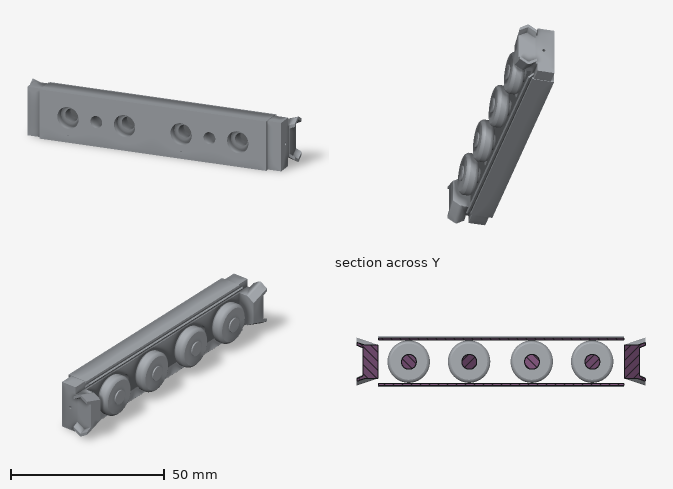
import cadquery as cq
import math


overall_length = 94.0
overall_depth = 13.3
body_length = 80.1
body_height = 17.0
body_back = 7.3
flange_thickness = 0.75
ledge_back = 6.8
ledge_inner_z = 5.5

roller_pitch = 20.0
roller_xs = [step * roller_pitch for step in (-1.5, -0.5, 0.5, 1.5)]
mount_xs = [-roller_pitch, roller_pitch]
bore_diameter = 4.5
counterbore_diameter = 7.5
counterbore_depth = 3.0
mount_diameter = 4.1
oil_hole_diameter = 0.5
oil_hole_depth = 0.9
oil_hole_z = -6.0
oil_hole_xs = [roller_xs[0], roller_xs[2]]

roller_diameter = 13.8
roller_front = 8.65
roller_back = 12.8
roller_face_diameter = 11.8
shoulder_width = 1.1
shoulder_radius = 1.9
hub_diameter = 5.0
eccentric_offset = 0.4
roller_offsets = [0, -eccentric_offset, 0, -eccentric_offset]

wiper_thickness = 0.6
wiper_foot_z = 5.8
wiper_reach = 2.1

cap_outer_x = 44.9
cap_front = 1.1
cap_height = 16.7
pin_hole_diameter = 1.0
pin_hole_y = 4.7

nose_front = 7.6
nose_middle = (nose_front + overall_depth) / 2
nose_side_z = 6.2
nose_apex_z = 8.0
nose_taper = 2.35
nose_ridge_radius = 1.0
tongue_back = 10.0
recess_depth = 2.0
recess_side_z = 5.2
recess_apex_z = 6.9
recess_taper = 0.8

body_end = body_length / 2
body_top = body_height / 2
nose_end = overall_length / 2


def holes_along_y(xs, diameter, depth, z=0.0):
    """Cylinders that enter the front face and run toward +Y."""
    points = [(x, z) for x in xs]
    return cq.Workplane("XZ").pushPoints(points).circle(diameter / 2).extrude(-depth)


def make_body():
    flange_inner_z = body_top - flange_thickness
    half_profile = [
        (0, body_top),
        (body_back, body_top),
        (body_back, flange_inner_z),
        (ledge_back, flange_inner_z),
        (ledge_back, ledge_inner_z),
        (body_back, ledge_inner_z),
    ]
    mirrored = [(y, -z) for y, z in reversed(half_profile)]
    body = (
        cq.Workplane("YZ", origin=(-body_end, 0, 0))
        .polyline(half_profile + mirrored)
        .close()
        .extrude(body_length)
    )
    body = body.cut(holes_along_y(roller_xs, bore_diameter, body_back))
    body = body.cut(holes_along_y(roller_xs, counterbore_diameter, counterbore_depth))
    body = body.cut(holes_along_y(mount_xs, mount_diameter, body_back))
    return body.cut(holes_along_y(oil_hole_xs, oil_hole_diameter, oil_hole_depth, oil_hole_z))


def make_roller(x):
    """Disc with curved shoulders and a hub that stands on the rear face of the body."""
    rim_radius = roller_diameter / 2
    face_radius = roller_face_diameter / 2
    disc = (
        cq.Workplane("XY", origin=(x, 0, 0))
        .moveTo(0, roller_front)
        .lineTo(face_radius, roller_front)
        .radiusArc((rim_radius, roller_front + shoulder_width), -shoulder_radius)
        .lineTo(rim_radius, roller_back - shoulder_width)
        .radiusArc((face_radius, roller_back), -shoulder_radius)
        .lineTo(0, roller_back)
        .close()
        .revolve(360, (0, 0, 0), (0, 1, 0))
    )
    hub = (
        cq.Workplane("XZ", origin=(x, body_back, 0))
        .circle(hub_diameter / 2)
        .extrude(body_back - overall_depth)
    )
    return disc.union(hub)


def make_wiper(side):
    """Strip on the upper (side = 1) or lower (side = -1) ledge."""
    edge_step = wiper_thickness / math.sqrt(2)
    foot_width = wiper_thickness * math.sqrt(2)
    tip_y = ledge_back + wiper_reach
    tip_z = wiper_foot_z + wiper_reach
    profile = [
        (ledge_back, wiper_foot_z),
        (tip_y, tip_z),
        (tip_y - edge_step, tip_z + edge_step),
        (ledge_back, wiper_foot_z + foot_width),
    ]
    return (
        cq.Workplane("YZ", origin=(-body_end, 0, 0))
        .polyline([(y, side * z) for y, z in profile])
        .close()
        .extrude(body_length)
    )


def hexagon(side_z, apex_z):
    """Corners of a hexagon with vertical front and rear sides, as (y, z)."""
    return [
        (nose_front, -side_z),
        (nose_middle, -apex_z),
        (overall_depth, -side_z),
        (overall_depth, side_z),
        (nose_middle, apex_z),
        (nose_front, side_z),
    ]


def tapered_hexagon(side_z, apex_z, taper, depth):
    """Hexagonal block from the -X extreme inward, losing half height on the way."""
    return (
        cq.Workplane("YZ", origin=(-nose_end, 0, 0))
        .polyline(hexagon(side_z, apex_z))
        .close()
        .workplane(offset=depth)
        .polyline(hexagon(side_z - taper, apex_z - taper))
        .close()
        .loft(ruled=True, combine=True)
    )


def make_nose():
    nose = tapered_hexagon(nose_side_z, nose_apex_z, nose_taper, nose_end - body_end)
    ridge_z = nose_apex_z - nose_taper / 2
    for z in (ridge_z, -ridge_z):
        ridge = cq.selectors.NearestToPointSelector((-(nose_end + body_end) / 2, nose_middle, z))
        nose = nose.edges(ridge).fillet(nose_ridge_radius)
    return nose.cut(tapered_hexagon(recess_side_z, recess_apex_z, recess_taper, recess_depth))


def make_left_cap():
    cap_length = cap_outer_x - body_end
    cap_middle_x = -(cap_outer_x + body_end) / 2
    block_depth = ledge_back - cap_front
    block = cq.Workplane("XY").box(cap_length, block_depth, cap_height)
    block = block.translate((cap_middle_x, cap_front + block_depth / 2, 0))
    tongue_depth = tongue_back - ledge_back
    tongue = cq.Workplane("XY").box(cap_length, tongue_depth, 2 * ledge_inner_z)
    tongue = tongue.translate((cap_middle_x, ledge_back + tongue_depth / 2, 0))
    pin_hole = (
        cq.Workplane("YZ", origin=(-cap_outer_x, pin_hole_y, 0))
        .circle(pin_hole_diameter / 2)
        .extrude(cap_length)
    )
    return block.union(tongue).union(make_nose()).cut(pin_hole)


body = make_body()
rollers = [make_roller(x + offset) for x, offset in zip(roller_xs, roller_offsets)]
wipers = [make_wiper(side) for side in (1, -1)]
left_cap = make_left_cap()
end_caps = [left_cap, left_cap.mirror("YZ")]

result = cq.Compound.makeCompound(
    [solid.val() for solid in [body, *rollers, *wipers, *end_caps]]
)